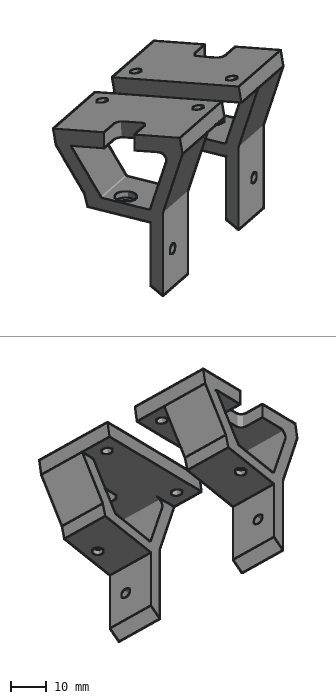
import cadquery as cq
import math

pair_width = 60.0
plate_gap = 10.0
plate_width = (pair_width - plate_gap) / 2
frame_width = 15.0

plate_length = 41.035
plate_thickness = 5.0
plate_slope = 10.0
plate_corner = (-31.0, 22.115)

shelf_length = 20.0
shelf_thickness = 4.0
shelf_end_draft = 15.0
leg_thickness = 4.0
leg_length = 20.0
leg_tip_angle = 30.0

opening_floor_left = -15.55
opening_floor_right = -0.15
opening_top_left = -25.3
opening_top_right = 5.95
opening_top_radius = 2.0
opening_floor_radius = 0.8

screw_diameter = 3.2
head_diameter = 6.2
head_depth = 2.0
shelf_hole_x = -9.92
shelf_hole_edge = 3.9
leg_hole_edge = 5.8
leg_hole_drop = 10.0
plate_hole_inset = 5.0

notch_width = 9.65
notch_depth = 7.75
notch_radius = 2.0

slope = math.radians(plate_slope)
outer_y = -pair_width / 2
inner_y = -plate_gap / 2
plate_top = plate_corner[1] + plate_length * math.sin(slope)


def on_plate(along, below):
    """XZ point a distance along the plate's top face and a distance square below it."""
    x = plate_corner[0] + along * math.cos(slope) + below * math.sin(slope)
    z = plate_corner[1] + along * math.sin(slope) - below * math.cos(slope)
    return (x, z)


def plate_underside(x):
    """XZ point of the plate's underside at a given x."""
    start_x, start_z = on_plate(0, plate_thickness)
    return (x, start_z + (x - start_x) * math.tan(slope))


def extrude_outline(points, width):
    """Extrude an XZ outline inward from the outer side of the bracket."""
    return cq.Workplane("XZ", origin=(0, outer_y, 0)).polyline(points).close().extrude(-width)


def make_plate():
    ends = [
        on_plate(0, 0),
        on_plate(plate_length, 0),
        on_plate(plate_length, plate_thickness),
        on_plate(0, plate_thickness),
    ]
    return extrude_outline(ends, plate_width)


def make_frame():
    outline = [
        on_plate(0, 0),
        on_plate(plate_length, 0),
        on_plate(plate_length, plate_thickness),
        (leg_thickness, shelf_thickness),
        (leg_thickness, -leg_length - leg_thickness * math.tan(math.radians(leg_tip_angle))),
        (0, -leg_length),
        (0, 0),
        (-shelf_length, 0),
        (-shelf_length - shelf_thickness * math.tan(math.radians(shelf_end_draft)), shelf_thickness),
        on_plate(0, plate_thickness),
    ]
    return extrude_outline(outline, frame_width)


def make_opening():
    corners = [
        plate_underside(opening_top_left),
        plate_underside(opening_top_right),
        (opening_floor_right, shelf_thickness),
        (opening_floor_left, shelf_thickness),
    ]
    opening = extrude_outline(corners, frame_width)
    opening = opening.edges("|Y and >X").fillet(opening_top_radius)
    return opening.edges("|Y").edges("<Z").fillet(opening_floor_radius)


def make_notch():
    height = plate_top - shelf_thickness
    notch = (
        cq.Workplane("XY", origin=(shelf_hole_x, outer_y, shelf_thickness))
        .rect(notch_width, 2 * notch_depth)
        .extrude(height)
    )
    return notch.edges("|Z and >Y").fillet(notch_radius)


def cylinder(diameter, start, direction, length):
    return cq.Workplane(
        cq.Solid.makeCylinder(diameter / 2, length, cq.Vector(*start), cq.Vector(*direction))
    )


def make_bracket(mirrored):
    """The bracket on the -Y side, or its mirror image on the +Y side."""
    bracket = make_plate().union(make_frame()).cut(make_opening()).cut(make_notch())

    hole_y = outer_y + shelf_hole_edge
    bracket = bracket.cut(
        cylinder(screw_diameter, (shelf_hole_x, hole_y, 0), (0, 0, 1), shelf_thickness)
    )
    head_floor = (shelf_hole_x, hole_y, shelf_thickness - head_depth)
    bracket = bracket.cut(cylinder(head_diameter, head_floor, (0, 0, 1), head_depth))

    leg_hole = (0, outer_y + leg_hole_edge, -leg_hole_drop)
    bracket = bracket.cut(cylinder(screw_diameter, leg_hole, (1, 0, 0), leg_thickness))

    into_plate = (math.sin(slope), 0, -math.cos(slope))
    for along in (plate_hole_inset, plate_length - plate_hole_inset):
        x, z = on_plate(along, 0)
        start = (x, inner_y - plate_hole_inset, z)
        bracket = bracket.cut(cylinder(screw_diameter, start, into_plate, plate_thickness))
    return bracket.mirror("XZ") if mirrored else bracket


brackets = []
for mirrored in (False, True):
    brackets.append(make_bracket(mirrored).val())

result = cq.Compound.makeCompound(brackets)